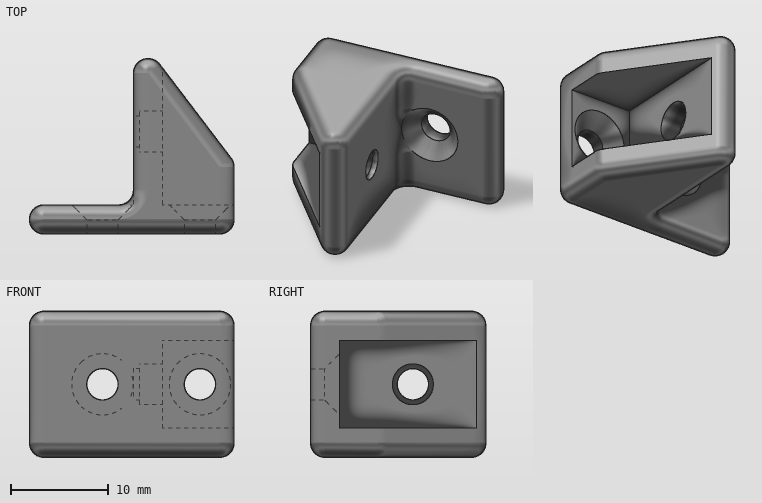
import cadquery as cq
import math

length = 21.0
wall = length / 7
edge_radius = wall / 2
depth = 6 * wall
height = 5 * wall

wall_left = 10.67
wall_right = wall_left + wall
wall_middle = wall_left + edge_radius
inside_radius = edge_radius

slope_top = (wall_middle, depth - edge_radius)
slope_bottom = (length - edge_radius, 6.87)

hole_diameter = 3.2
sink_diameter = 6.3
sink_angle = 90
hole_height = height / 2
plate_hole_positions = (7.5, 17.5)
wall_hole_position = 10.5
counterbore_diameter = 4.2
seat_thickness = 0.6

rim_radius = 0.999 * edge_radius


def around(centre, angle):
    """Point on a rounded corner, at an angle in degrees from +X."""
    turn = math.radians(angle)
    return (
        centre[0] + edge_radius * math.cos(turn),
        centre[1] + edge_radius * math.sin(turn),
    )


def bracket_blank():
    """L-shaped outline whose inside is filled by a gusset with a sloping edge."""
    run = slope_bottom[0] - slope_top[0]
    drop = slope_top[1] - slope_bottom[1]
    normal = math.degrees(math.atan2(run, drop))
    plate_end = (edge_radius, edge_radius)
    plate_corner = (length - edge_radius, edge_radius)
    return (
        cq.Workplane("XY")
        .moveTo(*around(plate_end, -90))
        .lineTo(*around(plate_corner, -90))
        .threePointArc(around(plate_corner, -45), around(plate_corner, 0))
        .lineTo(*around(slope_bottom, 0))
        .threePointArc(around(slope_bottom, normal / 2), around(slope_bottom, normal))
        .lineTo(*around(slope_top, normal))
        .threePointArc(around(slope_top, 90), around(slope_top, 180))
        .lineTo(wall_left, wall)
        .lineTo(*around(plate_end, 90))
        .threePointArc(around(plate_end, 180), around(plate_end, -90))
        .close()
        .extrude(height)
    )


def cavity():
    """Pocket between the two gussets, open toward the slope and the right end."""
    return cq.Workplane("XY").box(length, depth, height - 2 * wall, centered=False).translate(
        (wall_right, wall, wall)
    )


def plate_bore(x):
    """Screw bore through the front plate, countersunk from its inside face."""
    sink_radius = sink_diameter / 2
    hole_radius = hole_diameter / 2
    sink_depth = (sink_radius - hole_radius) / math.tan(math.radians(sink_angle / 2))
    start = cq.Vector(x, wall, hole_height)
    outward = cq.Vector(0, -1, 0)
    cone = cq.Solid.makeCone(sink_radius, hole_radius, sink_depth, start, outward)
    bore = cq.Solid.makeCylinder(hole_radius, wall, start, outward)
    return cone.fuse(bore)


def wall_bore():
    """Screw bore through the wall, counterbored from the cavity."""
    inward = cq.Vector(1, 0, 0)
    start = cq.Vector(wall_left, wall_hole_position, hole_height)
    seat = start + inward * seat_thickness
    bore = cq.Solid.makeCylinder(hole_diameter / 2, wall, start, inward)
    counterbore = cq.Solid.makeCylinder(
        counterbore_diameter / 2, wall - seat_thickness, seat, inward
    )
    return bore.fuse(counterbore)


body = bracket_blank().cut(cavity())
for x in plate_hole_positions:
    body = body.cut(plate_bore(x))
body = body.cut(wall_bore())

pick_margin = 0.2

inside_corner = cq.selectors.BoxSelector(
    (wall_left - pick_margin, wall - pick_margin, -pick_margin),
    (wall_left + pick_margin, wall + pick_margin, height + pick_margin),
)
body = body.edges("|Z").edges(inside_corner).fillet(inside_radius)

result = body.faces("<Z or >Z").edges().fillet(rim_radius)